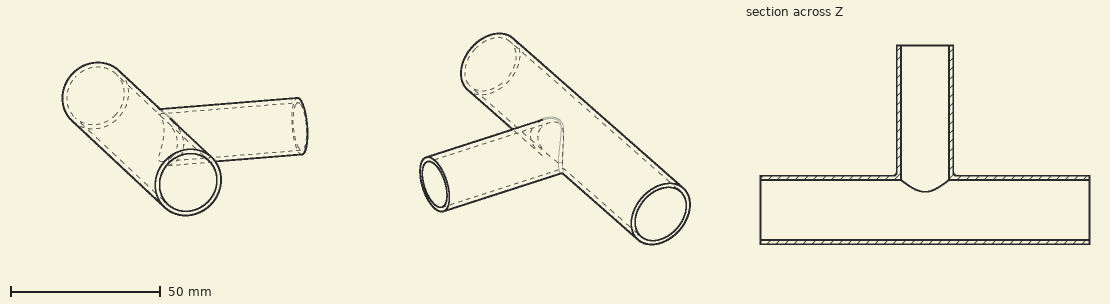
import cadquery as cq

run_length = 110.0
run_outer_diameter = 23.0
run_bore_diameter = 20.0
branch_outer_diameter = 19.0
branch_bore_diameter = 16.0
branch_reach = 55.0
seam_fillet_radius = 1.0


def run_cylinder(diameter):
    """Cylinder along X, centred on the origin."""
    return cq.Workplane("YZ").circle(diameter / 2).extrude(run_length / 2, both=True)


def branch_cylinder(diameter):
    """Cylinder from the run axis out along +Y."""
    return cq.Workplane("XZ").circle(diameter / 2).extrude(-branch_reach)


outer_body = run_cylinder(run_outer_diameter).union(branch_cylinder(branch_outer_diameter))
outer_body = outer_body.edges("not (%LINE or %CIRCLE)").fillet(seam_fillet_radius)

bores = run_cylinder(run_bore_diameter).union(branch_cylinder(branch_bore_diameter))
result = outer_body.cut(bores)